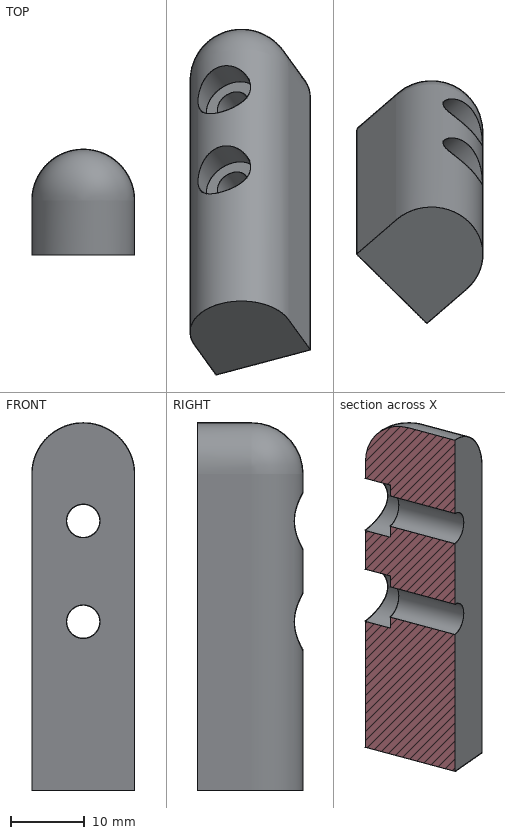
import cadquery as cq

width = 14.0
depth = 14.4
height = 50.0
round_radius = width / 2
flat_depth = depth - round_radius
dome_z = height - round_radius

hole_diameter = 4.5
upper_hole_z = 36.65
hole_spacing = 13.7
counterbore_diameter = 7.8
counterbore_depth = 4.0


def make_body():
    """Bar with a flat front, half-round back and a domed upper end."""
    block = cq.Workplane("XY").box(width, flat_depth, dome_z, centered=(True, False, False))
    back = cq.Workplane("XY").center(0, flat_depth).circle(round_radius).extrude(dome_z)
    arched_top = cq.Workplane("XZ").center(0, dome_z).circle(round_radius).extrude(-flat_depth)
    dome = cq.Workplane("XY").sphere(round_radius).translate((0, flat_depth, dome_z))
    return block.union(back).union(arched_top).union(dome)


def make_hole(center_z):
    """Through hole along Y with a counterbore opening at the back."""
    front_face = cq.Workplane("XZ").center(0, center_z)
    bore = front_face.circle(hole_diameter / 2).extrude(-depth)
    counterbore = (
        front_face.workplane(offset=-(depth - counterbore_depth))
        .circle(counterbore_diameter / 2)
        .extrude(-counterbore_depth)
    )
    return bore.union(counterbore)


result = (
    make_body()
    .cut(make_hole(upper_hole_z))
    .cut(make_hole(upper_hole_z - hole_spacing))
)